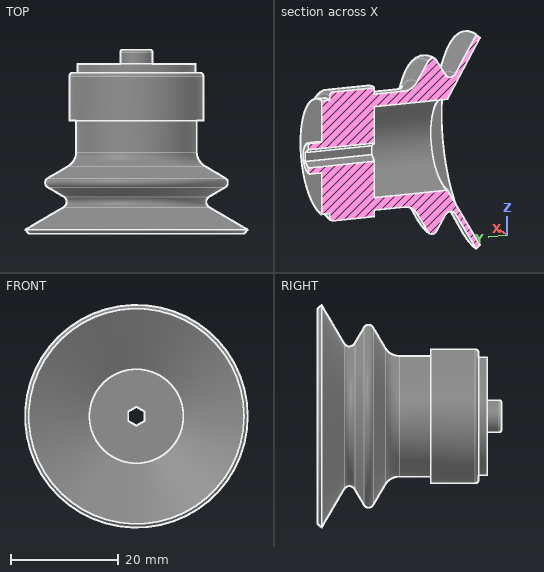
import cadquery as cq
import math


lip_radius = 20.75
lip_mouth_radius = 20.03
lip_height = 0.8
bore_radius = 17.5 / 2
flare_depth = 6.5

cone_angle = math.radians(30)
groove_radius = 13.0
groove_round = 1.1
groove_y = 5.95
fold_radius = 17.05
fold_round = 1.0
fold_y = 9.55
neck_radius = 22.5 / 2
neck_round = 3.0
neck_start_y = 15.2

collar_radius = 25.0 / 2
collar_start_y = 21.05
collar_end_y = 30.0
collar_round = 0.7
disc_radius = 22.0 / 2
disc_end_y = 31.65
pin_radius = 6.0 / 2
pin_end_y = 34.3
pin_round = 0.5
hex_across_flats = 3.0

bore_end_y = collar_start_y


def arc_offsets(radius):
    """Radial and axial distance from a round's centre to where it meets a cone."""
    return radius * math.sin(cone_angle), radius * math.cos(cone_angle)


def outer_body():
    groove_centre = groove_radius + groove_round
    groove_dr, groove_dy = arc_offsets(groove_round)
    fold_centre = fold_radius - fold_round
    fold_dr, fold_dy = arc_offsets(fold_round)
    neck_centre = neck_radius + neck_round
    neck_dr, neck_dy = arc_offsets(neck_round)
    neck_mid_angle = (math.pi / 2 - cone_angle) / 2
    neck_mid = (
        neck_centre - neck_round * math.cos(neck_mid_angle),
        neck_start_y - neck_round * math.sin(neck_mid_angle),
    )
    profile = (
        cq.Workplane("XY")
        .moveTo(0, 0)
        .lineTo(lip_mouth_radius, 0)
        .lineTo(lip_radius, lip_height)
        .lineTo(groove_centre - groove_dr, groove_y - groove_dy)
        .threePointArc((groove_radius, groove_y), (groove_centre - groove_dr, groove_y + groove_dy))
        .lineTo(fold_centre + fold_dr, fold_y - fold_dy)
        .threePointArc((fold_radius, fold_y), (fold_centre + fold_dr, fold_y + fold_dy))
        .lineTo(neck_centre - neck_dr, neck_start_y - neck_dy)
        .threePointArc(neck_mid, (neck_radius, neck_start_y))
        .lineTo(neck_radius, collar_start_y)
        .lineTo(0, collar_start_y)
        .close()
    )
    return profile.revolve(360, (0, 0, 0), (0, 1, 0))


def cylinder(radius, start_y, end_y):
    """Solid cylinder along Y."""
    plane = cq.Workplane("XZ", origin=(0, start_y, 0))
    return plane.circle(radius).extrude(start_y - end_y)


def fitting():
    collar = cylinder(collar_radius, collar_start_y, collar_end_y).edges(">Y").fillet(collar_round)
    disc = cylinder(disc_radius, collar_start_y, disc_end_y)
    pin = cylinder(pin_radius, collar_start_y, pin_end_y).edges(">Y").fillet(pin_round)
    return collar.union(disc).union(pin)


def inside():
    profile = (
        cq.Workplane("XY")
        .moveTo(0, 0)
        .lineTo(lip_mouth_radius, 0)
        .lineTo(bore_radius, flare_depth)
        .lineTo(bore_radius, bore_end_y)
        .lineTo(0, bore_end_y)
        .close()
    )
    return profile.revolve(360, (0, 0, 0), (0, 1, 0))


def hex_hole():
    """Hexagonal through hole with two corners pointing along Z."""
    across_corners = hex_across_flats / math.cos(math.pi / 6)
    hexagon = cq.Workplane("XZ").polygon(6, across_corners).extrude(-pin_end_y)
    return hexagon.rotate((0, 0, 0), (0, 1, 0), 30)


result = outer_body().union(fitting()).cut(inside()).cut(hex_hole())